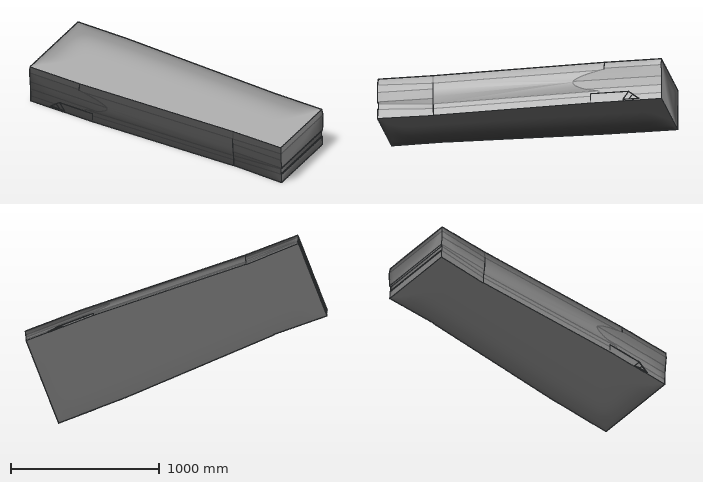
import cadquery as cq

length = 1945.0
height = 282.0
shoulder_x = 389.0
narrow_x = 1565.0
max_width = 636.0
max_half_width = max_width / 2
narrow_half_width = 272.0

panel_half_width = max_half_width - 16.1
corner_half_width = max_half_width - 18.0
facet_half_width = max_half_width - 18.5
panel_height = 66.0
panel_start_x = 155.0
panel_peak_x = 225.0
panel_end_x = 486.0
facet_base = 12.0
facet_top = (198.0, 45.0)
facet_end_x = 265.0
cutter_reach = 39.0

wide_side = [(14.5, 0), (14.2, 43.0), (12.6, 100.0), (8.0, 160.0), (0, 237.0), (4.9, height)]
tapered_side = [(12.5, 0), (12.3, 49.0), (12.0, 82.0), (0, 225.0), (4.9, height)]
bulge_start = 2
bulge_middle = (0.4, 148.0)
narrow_side = [
    (15.0, 0), (14.5, 49.0), (12.0, 82.0), (5.0, 119.0), (0.5, 185.0), (0, 225.0), (4.9, height),
]
end_side = [
    (5.0, 0), (8.0, 66.0), (8.8, 107.0), (4.9, 119.0), (0.5, 185.0), (0, 237.0), (4.9, height),
]

end_contour = [
    (length, 0), (length, 66.0), (1940.0, 68.0), (1940.0, 107.0),
    (length, 119.0), (length, 237.0), (1940.0, height),
]


def section(x, half_width, side):
    """Closed cross-section, symmetric about the centre plane."""
    right = [(half_width - inset, z) for inset, z in side]
    left = [(-y, z) for y, z in reversed(right)]
    points = [cq.Vector(x, y, z) for y, z in right + left]
    return cq.Wire.makePolygon(points, close=True)


def tapered_section(x, half_width):
    """Wire of the tapered cross-section, with a rounded stretch on both sides."""
    right = [(half_width - inset, z) for inset, z in tapered_side]
    left = [(-y, z) for y, z in right]
    middle_y = half_width - bulge_middle[0]
    middle_z = bulge_middle[1]
    bulge_end = bulge_start + 1
    outline = cq.Workplane("YZ", origin=(x, 0, 0)).moveTo(*right[0])
    for point in right[1:bulge_end]:
        outline = outline.lineTo(*point)
    outline = outline.threePointArc((middle_y, middle_z), right[bulge_end])
    for point in right[bulge_end + 1:] + left[:bulge_start:-1]:
        outline = outline.lineTo(*point)
    outline = outline.threePointArc((-middle_y, middle_z), left[bulge_start])
    for point in left[bulge_start - 1::-1]:
        outline = outline.lineTo(*point)
    return outline.close().val()


def segment(x_start, x_end, half_width, start_side, finish_side):
    """Straight-walled length of the body between two side profiles."""
    wires = [
        section(x_start, half_width, start_side),
        section(x_end, half_width, finish_side),
    ]
    return cq.Workplane(cq.Solid.makeLoft(wires, True))


def side_cut(body, outline, half_width):
    """Cut an outline in the XZ plane back to a flat wall on both sides."""
    for sign in (-1, 1):
        cutter = (
            cq.Workplane("XZ", origin=(0, sign * half_width, 0))
            .polyline(outline).close().extrude(-sign * cutter_reach)
        )
        body = body.cut(cutter)
    return body


wide_body = segment(0, narrow_x, max_half_width, wide_side, wide_side)
wide_end = segment(0, shoulder_x, max_half_width, wide_side, wide_side)
taper_wires = [
    tapered_section(shoulder_x, max_half_width),
    tapered_section(narrow_x, narrow_half_width),
]
tapered_body = cq.Workplane(cq.Solid.makeLoft(taper_wires, True))
tapered_body = tapered_body.intersect(wide_body)
narrow_end = segment(narrow_x, length, narrow_half_width, narrow_side, end_side)

body = wide_end.union(tapered_body).union(narrow_end)

panel_outline = [
    (facet_end_x, 0), (panel_peak_x, panel_height),
    (panel_end_x, panel_height), (panel_end_x, 0),
]
corner_outline = [
    (panel_start_x, facet_base), (panel_peak_x, panel_height), (facet_end_x, facet_base),
]
facet_outline = [(panel_start_x, facet_base), facet_top, (panel_peak_x, facet_base)]
body = side_cut(body, panel_outline, panel_half_width)
body = side_cut(body, corner_outline, corner_half_width)
body = side_cut(body, facet_outline, facet_half_width)

envelope = (
    cq.Workplane("XZ", origin=(0, max_half_width, 0))
    .polyline([(0, 0)] + end_contour + [(0, height)]).close()
    .extrude(2 * max_half_width)
)
result = body.intersect(envelope)